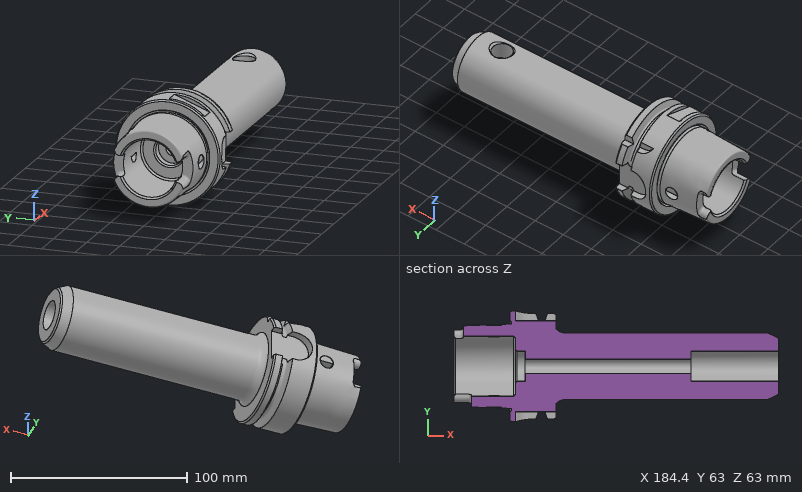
import cadquery as cq
import math

total_length = 184.4

taper_length = 31.7
taper_front_radius = 22.9
taper_base_radius = 24.2
taper_band_start = 30.0
taper_band_step = 0.2
taper_band_chamfer = 0.5
taper_edge_fillet = 1.1

recess_outer_radius = 25.5
recess_depth = 1.1
recess_fillet = 0.5

flange_radius = 31.5
flange_end = 58.0
flange_chamfer = 1.0
groove_floor_radius = 27.0
groove_left = 46.8
groove_right = 53.1
groove_wall_run = 1.3
groove_fillet = 1.1
groove_fillet_height = 1.0

sleeve_diameter = 38.2
sleeve_radius = sleeve_diameter / 2
neck_radius = 5.7
neck_end = 62.9
sleeve_taper_start = 178.0
nose_radius = 16.5
nose_chamfer = 1.0

cavity_radius = 17.0
cavity_depth = 35.0
cavity_mouth_chamfer = 1.1
cavity_floor_chamfer = 1.1
counterbore_radius = 8.5
counterbore_chamfer = 1.0
counterbore_depth = 5.5
coolant_hole_diameter = 8.0
tool_bore_diameter = 17.0
tool_bore_depth = 49.8

drive_slot_width = 12.4
drive_slot_flat = 20.7
drive_slot_corner = 3.3
drive_slot_floor_fillet = 1.8
drive_slot_depths = {-1: 10.1, 1: 5.5}

keyway_width = 19.0
keyway_radius = keyway_width / 2
keyway_start = 35.2
keyway_floor = 25.8

notch_side = 20.5
notch_floor = 20.0
notch_cutter_radius = 8.5
notch_center_x = 45.2

flat_start = 35.0
flat_end = 43.7
flat_tilt = 21.4

access_hole_diameter = 8.3
access_hole_x = 22.9
access_recess_floor = 23.2
clamp_hole_diameter = 12.7
clamp_hole_x = 160.6
clamp_sink_diameter = 15.5


def revolve_profile(profile):
    """Revolve a half profile, drawn as (x, radius), about the X axis."""
    return profile.close().revolve(360, (0, 0, 0), (1, 0, 0))


def cylinder_x(radius, start, length):
    return cq.Workplane("YZ", origin=(start, 0, 0)).circle(radius).extrude(length)


def make_body():
    neck_start_radius = sleeve_radius + neck_radius - math.sqrt(neck_radius**2 - (neck_end - flange_end)**2)
    half_angle = math.asin((neck_end - flange_end) / neck_radius) / 2
    neck_mid = (
        neck_end - neck_radius * math.sin(half_angle),
        sleeve_radius + neck_radius * (1 - math.cos(half_angle)),
    )
    groove_shoulder_radius = groove_floor_radius + groove_fillet_height
    profile = (
        cq.Workplane("XY")
        .lineTo(0, taper_front_radius - taper_edge_fillet)
        .radiusArc((taper_edge_fillet, taper_front_radius), taper_edge_fillet)
        .lineTo(taper_band_start, taper_base_radius - taper_band_step)
        .lineTo(taper_band_start + taper_band_chamfer, taper_base_radius)
        .lineTo(taper_length + recess_depth, taper_base_radius)
        .lineTo(taper_length + recess_depth, recess_outer_radius - recess_fillet)
        .radiusArc((taper_length + recess_depth - recess_fillet, recess_outer_radius), -recess_fillet)
        .lineTo(taper_length, recess_outer_radius)
        .lineTo(taper_length, flange_radius - flange_chamfer)
        .lineTo(taper_length + flange_chamfer, flange_radius)
        .lineTo(groove_left, flange_radius)
        .lineTo(groove_left + groove_wall_run, groove_shoulder_radius)
        .radiusArc((groove_left + groove_wall_run + groove_fillet, groove_floor_radius), -groove_fillet)
        .lineTo(groove_right - groove_wall_run - groove_fillet, groove_floor_radius)
        .radiusArc((groove_right - groove_wall_run, groove_shoulder_radius), -groove_fillet)
        .lineTo(groove_right, flange_radius)
        .lineTo(flange_end - flange_chamfer, flange_radius)
        .lineTo(flange_end, flange_radius - flange_chamfer)
        .lineTo(flange_end, neck_start_radius)
        .threePointArc(neck_mid, (neck_end, sleeve_radius))
        .lineTo(sleeve_taper_start, sleeve_radius)
        .lineTo(total_length - nose_chamfer, nose_radius)
        .lineTo(total_length, nose_radius - nose_chamfer)
        .lineTo(total_length, 0)
    )
    return revolve_profile(profile)


def make_bores():
    counterbore_floor = cavity_depth + counterbore_depth
    cavity = revolve_profile(
        cq.Workplane("XY")
        .lineTo(0, cavity_radius + cavity_mouth_chamfer)
        .lineTo(cavity_mouth_chamfer, cavity_radius)
        .lineTo(cavity_depth - cavity_floor_chamfer, cavity_radius)
        .lineTo(cavity_depth, cavity_radius - cavity_floor_chamfer)
        .lineTo(cavity_depth, counterbore_radius + counterbore_chamfer)
        .lineTo(cavity_depth + counterbore_chamfer, counterbore_radius)
        .lineTo(counterbore_floor, counterbore_radius)
        .lineTo(counterbore_floor, 0)
    )
    coolant_hole = cylinder_x(coolant_hole_diameter / 2, 0, total_length)
    tool_bore = cylinder_x(tool_bore_diameter / 2, total_length - tool_bore_depth, tool_bore_depth)
    return cavity.union(coolant_hole).union(tool_bore)


def make_drive_slot(side):
    """Slot through the taper wall; its corners round outward into a flat facing Y."""
    half = drive_slot_width / 2
    corner = drive_slot_corner
    inner = cavity_radius / 2
    outer = flange_radius
    wide = flange_radius / 2
    depth = drive_slot_depths[side]
    slot = (
        cq.Workplane("YZ", origin=(-depth, 0, 0))
        .moveTo(inner, -half)
        .lineTo(drive_slot_flat - corner, -half)
        .radiusArc((drive_slot_flat, -half - corner), corner)
        .lineTo(drive_slot_flat, -wide)
        .lineTo(outer, -wide)
        .lineTo(outer, wide)
        .lineTo(drive_slot_flat, wide)
        .lineTo(drive_slot_flat, half + corner)
        .radiusArc((drive_slot_flat - corner, half), corner)
        .lineTo(inner, half)
        .close()
        .extrude(2 * depth)
        .faces(">X")
        .edges()
        .fillet(drive_slot_floor_fillet)
    )
    return slot if side > 0 else slot.mirror("XZ")


def make_keyway(side):
    """Flat-floored keyway with a round end, open toward the tool sleeve."""
    center_x = keyway_start + keyway_radius
    length = flange_end - center_x
    round_end = (
        cq.Workplane("XZ", origin=(0, side * keyway_floor, 0))
        .center(center_x, 0)
        .circle(keyway_radius)
        .extrude(-side * flange_radius)
    )
    open_end = (
        cq.Workplane("XZ", origin=(0, side * keyway_floor, 0))
        .center(center_x + length / 2, 0)
        .rect(length, keyway_width)
        .extrude(-side * flange_radius)
    )
    return round_end.union(open_end)


def make_notch():
    """Edge notch with a flat side and a floor that runs out along a cutter radius."""
    runout_x = notch_center_x - notch_cutter_radius
    runout_z = notch_floor + notch_cutter_radius
    return (
        cq.Workplane("XZ", origin=(0, notch_side, 0))
        .moveTo(flange_end, notch_floor)
        .lineTo(notch_center_x, notch_floor)
        .radiusArc((runout_x, runout_z), notch_cutter_radius)
        .lineTo(flange_end, runout_z)
        .close()
        .extrude(-flange_radius)
    )


def make_rim_flat():
    """Tilted flat whose upper edge lies at the top of the flange."""
    flat_height = flange_radius * math.cos(math.radians(flat_tilt))
    return (
        cq.Workplane("XY", origin=(0, 0, flat_height))
        .center((flat_start + flat_end) / 2, 0)
        .rect(flat_end - flat_start, 2 * flange_radius)
        .extrude(flange_radius)
        .rotate((0, 0, 0), (1, 0, 0), flat_tilt)
    )


def make_half_disc(half, start):
    """Upper (half = 1) or lower (half = -1) half cylinder running outward toward -Y from start."""
    radius = access_hole_diameter / 2
    return (
        cq.Workplane("XZ", origin=(access_hole_x, -start, 0))
        .moveTo(-radius, 0)
        .threePointArc((0, half * radius), (radius, 0))
        .close()
        .extrude(flange_radius - start)
    )


def make_access_hole(side):
    """Round recess on the taper whose lower half continues into the cavity."""
    hole = make_half_disc(1, access_recess_floor).union(make_half_disc(-1, cavity_radius / 2))
    return hole if side < 0 else hole.mirror("XZ")


def make_clamp_hole():
    """Countersunk hole from the top of the sleeve into the tool bore."""
    hole_radius = clamp_hole_diameter / 2
    sink_radius = clamp_sink_diameter / 2
    sink_floor = sleeve_radius - (sink_radius - hole_radius) * 2
    hole = cq.Workplane("XY", origin=(clamp_hole_x, 0, 0)).circle(hole_radius).extrude(sleeve_radius)
    sink = (
        cq.Workplane("XZ", origin=(clamp_hole_x, 0, 0))
        .lineTo(0, sleeve_radius)
        .lineTo(sink_radius, sleeve_radius)
        .lineTo(hole_radius, (sleeve_radius + sink_floor) / 2)
        .lineTo(0, (sleeve_radius + sink_floor) / 2)
        .close()
        .revolve(360, (0, 0, 0), (0, 1, 0))
    )
    return hole.union(sink)


result = make_body().cut(make_bores())
for side in (-1, 1):
    result = result.cut(make_drive_slot(side)).cut(make_keyway(side)).cut(make_access_hole(side))
result = result.cut(make_notch()).cut(make_rim_flat()).cut(make_clamp_hole())